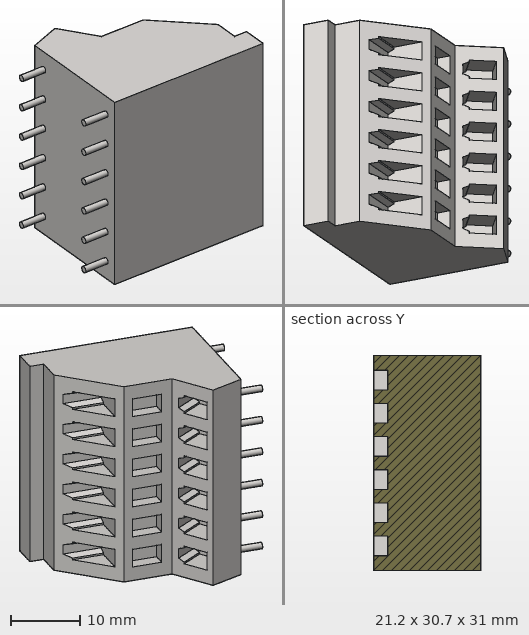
import cadquery as cq
import math

body_length = 31.0
body_height = 26.7
back_rib_width = 4.0
shelf_width = 8.0
shelf_height = 24.55
front_face_offset = 15.45
front_face_top = 16.65
front_face_bottom = 9.18
nose_offset = 21.2
nose_height = 5.1
base_width = 19.22

pole_count = 6
pin_pitch = 5.0
pin_diameter = 1.0
pin_length = 4.0
back_row_offset = 2.08
row_spacing = 15.0

pocket_pitch = 4.77
pocket_width = 2.8

window_bottom = 10.8
window_height = 4.5
window_depth = 2.0

tip_root_width = 2.25
tip_end_width = 1.45

upper_floor_height = 17.65
upper_tip_offset = 9.0
upper_tip_length = 1.0

lower_tip_start = 1.12
lower_tip_length = 0.95
lower_slot_length = 3.9
lower_pocket_depth = 4.03

front_bottom_corner = (-front_face_offset, front_face_bottom)
nose_corner = (-nose_offset, nose_height)


def pole_positions(pitch):
    """Z positions of the poles, centred on the body length."""
    first = (body_length - (pole_count - 1) * pitch) / 2
    return [first + i * pitch for i in range(pole_count)]


def make_body():
    profile = [
        (0, 0),
        (0, body_height),
        (-back_rib_width, body_height),
        (-back_rib_width, shelf_height),
        (-shelf_width, shelf_height),
        (-front_face_offset, front_face_top),
        front_bottom_corner,
        nose_corner,
        (-base_width, 0),
    ]
    return cq.Workplane("XY").polyline(profile).close().extrude(body_length)


def make_pins():
    rows = [-back_row_offset, -back_row_offset - row_spacing]
    centres = [(x, -z) for x in rows for z in pole_positions(pin_pitch)]
    plane = cq.Plane(origin=(0, -pin_length, 0), xDir=(1, 0, 0), normal=(0, 1, 0))
    return cq.Workplane(plane).pushPoints(centres).circle(pin_diameter / 2).extrude(pin_length)


def repeat_per_pole(pocket):
    """Copies of a pocket, which is centred on Z = 0, at every pole."""
    pockets = cq.Workplane("XY")
    for z in pole_positions(pocket_pitch):
        pockets = pockets.add(pocket.translate((0, 0, z)))
    return pockets.combine()


def tipped_slot(plane, tip_start, tip_length, slot_length, depth):
    """Slot along the plane's local X axis, starting with a tapered tip and shoulders."""
    slot_start = tip_start + tip_length
    slot_end = slot_start + slot_length
    half_outline = [
        (tip_start, tip_end_width / 2),
        (slot_start, tip_root_width / 2),
        (slot_start, pocket_width / 2),
        (slot_end, pocket_width / 2),
    ]
    mirrored_half = [(along, -across) for along, across in reversed(half_outline)]
    return cq.Workplane(plane).polyline(half_outline + mirrored_half).close().extrude(depth)


def make_windows():
    window = cq.Workplane("XY").box(window_depth, window_height, pocket_width)
    centre_x = -front_face_offset + window_depth / 2
    centre_y = window_bottom + window_height / 2
    return repeat_per_pole(window.translate((centre_x, centre_y, 0)))


def make_upper_pockets():
    plane = cq.Plane(origin=(0, upper_floor_height, 0), xDir=(-1, 0, 0), normal=(0, 1, 0))
    slot_length = front_face_offset - upper_tip_offset - upper_tip_length
    depth = shelf_height - upper_floor_height
    return repeat_per_pole(tipped_slot(plane, upper_tip_offset, upper_tip_length, slot_length, depth))


def make_lower_pockets():
    run_x = nose_corner[0] - front_bottom_corner[0]
    run_y = nose_corner[1] - front_bottom_corner[1]
    slope_length = math.hypot(run_x, run_y)
    down_slope = (run_x / slope_length, run_y / slope_length, 0)
    inward = (-down_slope[1], down_slope[0], 0)
    plane = cq.Plane(origin=(*front_bottom_corner, 0), xDir=down_slope, normal=inward)
    slot = tipped_slot(plane, lower_tip_start, lower_tip_length, lower_slot_length, lower_pocket_depth)
    return repeat_per_pole(slot)


result = make_body().union(make_pins())
for pockets in (make_windows(), make_upper_pockets(), make_lower_pockets()):
    result = result.cut(pockets)